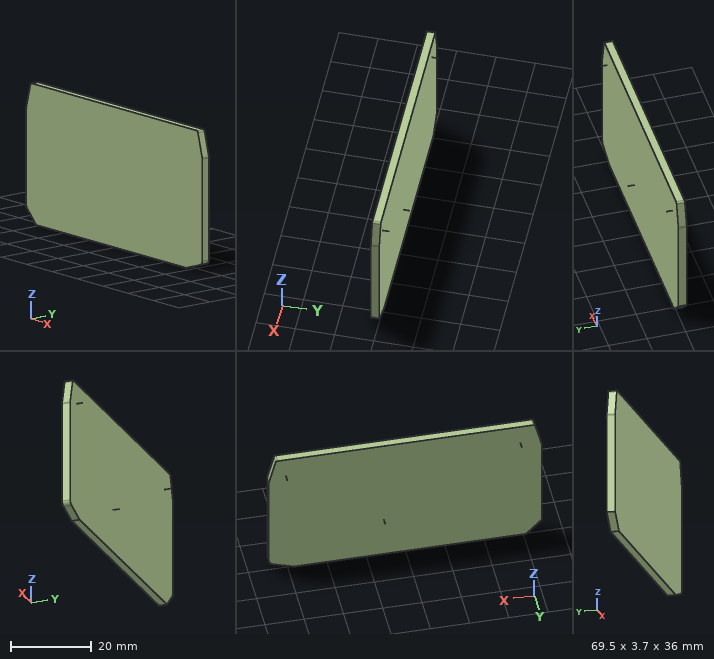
import cadquery as cq
import math

width = 69.5
height = 36.0
thickness = 2.2

top_cut_height = 6.7
top_cut_angle = math.radians(15)
top_cut_width = top_cut_height * math.tan(top_cut_angle)
bottom_left_cut = 4.0
bottom_right_cut_width = 6.4
bottom_right_cut_height = 2.1

top_radius = 0.5
shoulder_radius = 1.0
bottom_right_radius = 1.2

pin_diameter = 0.02
pin_length = 1.5
pin_embed = 0.5
pin_seam_angle = 45
left_pin_x = -29.3
middle_pin_x = 5.5
right_pin_x = 30.4
upper_pin_z = 12.5
lower_pin_z = -6.5
pin_positions = [
    (left_pin_x, upper_pin_z),
    (middle_pin_x, lower_pin_z),
    (right_pin_x, upper_pin_z),
]

right = width / 2
left = -right
top = height / 2
bottom = -top
shoulder_z = top - top_cut_height


def round_corner(plate, x, z, radius):
    """Round the plate edge that runs along Y through the corner (x, z)."""
    corner = cq.selectors.NearestToPointSelector((x, thickness / 2, z))
    return plate.edges("|Y").edges(corner).fillet(radius)


def make_plate():
    """Rectangular plate with four cut corners, rounded where the cuts meet the sides."""
    outline = [
        (left + bottom_left_cut, bottom),
        (right - bottom_right_cut_width, bottom),
        (right, bottom + bottom_right_cut_height),
        (right, shoulder_z),
        (right - top_cut_width, top),
        (left + top_cut_width, top),
        (left, shoulder_z),
        (left, bottom + bottom_left_cut),
    ]
    plate = cq.Workplane("XZ").polyline(outline).close().extrude(-thickness)
    for side in (-1, 1):
        plate = round_corner(plate, side * (right - top_cut_width), top, top_radius)
        plate = round_corner(plate, side * right, shoulder_z, shoulder_radius)
    return round_corner(plate, right, bottom + bottom_right_cut_height, bottom_right_radius)


def make_pins():
    """Needle pins, rooted inside the plate and pointing toward +Y."""
    root = cq.Workplane("XZ", origin=(0, thickness - pin_embed, 0))
    pin = root.circle(pin_diameter / 2).extrude(-(pin_embed + pin_length))
    pin = pin.rotate((0, 0, 0), (0, 1, 0), pin_seam_angle)
    pins = cq.Workplane("XZ")
    for x, z in pin_positions:
        pins = pins.add(pin.translate((x, 0, z)))
    return pins.combine()


result = make_plate().union(make_pins())